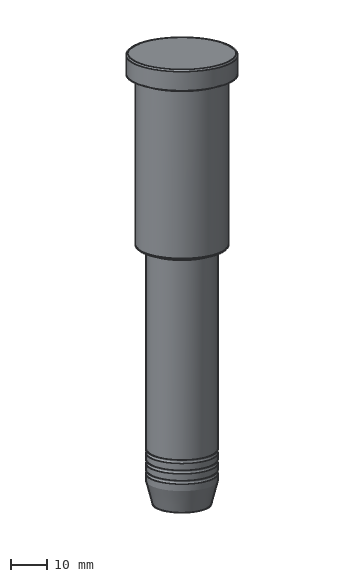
import cadquery as cq
import math

total_length = 131.0

head_radius = 15.5
head_height = 6.0
head_chamfer = 0.5

shank_radius = 13.0
shank_end_depth = 56.0
shank_chamfer = 0.5

pin_radius = 10.0
neck_height = 1.0
neck_inset = 0.5

groove_radius = 0.5
groove_width = 2 * groove_radius
ring_pitch = 3.0
ring_count = 3
lowest_ring_height = 9.0

tip_height = 7.0
tip_angle = math.radians(15.0)
tip_fillet = 0.5

head_bottom = total_length - head_height
shank_bottom = total_length - shank_end_depth
neck_bottom = shank_bottom - neck_height
neck_radius = pin_radius - neck_inset
tip_radius = pin_radius - tip_height * math.tan(tip_angle)


def cylinder(radius, bottom, top):
    """Cylinder on the Z axis between two heights."""
    return cq.Workplane("XY").workplane(offset=bottom).circle(radius).extrude(top - bottom)


def revolve_about_z(profile):
    """Revolve a closed profile in the XZ plane about the Z axis."""
    return profile.close().revolve(360, (0, 0, 0), (0, 1, 0))


def groove_cutter(surface_radius, bottom):
    """Ring that cuts a half-round groove upward from the given height into a cylinder."""
    floor_point = (surface_radius - groove_radius, bottom + groove_radius)
    top_point = (surface_radius, bottom + groove_width)
    profile = cq.Workplane("XZ").moveTo(surface_radius, bottom).threePointArc(floor_point, top_point)
    return revolve_about_z(profile)


def make_head():
    return cylinder(head_radius, head_bottom, total_length).faces(">Z").edges().chamfer(head_chamfer)


def make_shank():
    shank = cylinder(shank_radius, shank_bottom, head_bottom)
    shank = shank.faces("<Z").edges().chamfer(shank_chamfer)
    return shank.cut(groove_cutter(shank_radius, head_bottom - groove_width))


def make_pin():
    profile = (
        cq.Workplane("XZ")
        .lineTo(tip_radius, 0)
        .lineTo(pin_radius, tip_height)
        .lineTo(pin_radius, neck_bottom)
        .lineTo(neck_radius, neck_bottom)
        .lineTo(neck_radius, shank_bottom)
        .lineTo(0, shank_bottom)
    )
    pin = revolve_about_z(profile)
    pin = pin.faces("<Z").edges().fillet(tip_fillet)
    for index in range(ring_count):
        ring_bottom = lowest_ring_height + index * ring_pitch
        pin = pin.cut(groove_cutter(pin_radius, ring_bottom))
    return pin


result = make_head().union(make_shank()).union(make_pin())